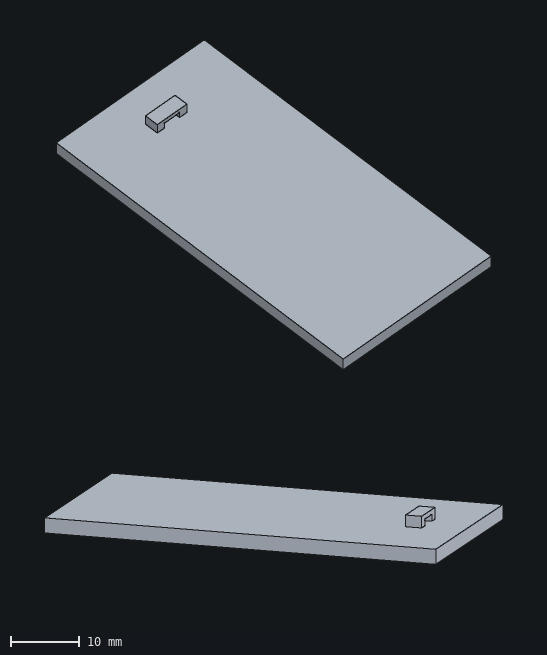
import cadquery as cq

plate_length = 60.45
plate_width = 30.0
plate_thickness = 2.3

total_height = 4.05
loop_height = total_height - plate_thickness
loop_thickness = 2.5
loop_span = 6.0
loop_edge_offset = 6.35

opening_width = 3.0
opening_height = 1.0

loop_center_x = -plate_length / 2 + loop_edge_offset + loop_thickness / 2


def block_on_plate(span, height):
    """Block as thick as the loop, standing on the plate at the loop's place."""
    return (
        cq.Workplane("XY", origin=(loop_center_x, 0, plate_thickness))
        .box(loop_thickness, span, height, centered=(True, True, False))
    )


plate = cq.Workplane("XY").box(
    plate_length, plate_width, plate_thickness, centered=(True, True, False)
)
opening = block_on_plate(opening_width, opening_height)
loop = block_on_plate(loop_span, loop_height).cut(opening)

result = plate.union(loop)